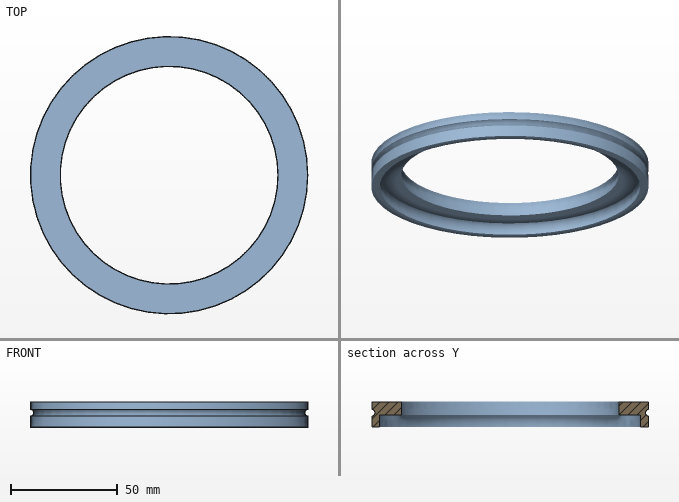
import cadquery as cq

outer_diameter = 130.0
bore_diameter = 101.9
height = 12.0
bore_length = 6.2
skirt_thickness = 3.9
upper_lip_height = 3.5
groove_width = 3.1
groove_depth = 1.4

outer_radius = outer_diameter / 2
bore_radius = bore_diameter / 2
recess_radius = outer_radius - skirt_thickness
recess_depth = height - bore_length
groove_top = height - upper_lip_height
groove_bottom = groove_top - groove_width
groove_middle = (groove_top + groove_bottom) / 2

section = (
    cq.Workplane("XZ")
    .moveTo(recess_radius, 0)
    .lineTo(outer_radius, 0)
    .lineTo(outer_radius, groove_bottom)
    .threePointArc((outer_radius - groove_depth, groove_middle), (outer_radius, groove_top))
    .lineTo(outer_radius, height)
    .lineTo(bore_radius, height)
    .lineTo(bore_radius, recess_depth)
    .lineTo(recess_radius, recess_depth)
    .close()
)

result = section.revolve(360, (0, 0, 0), (0, 1, 0))